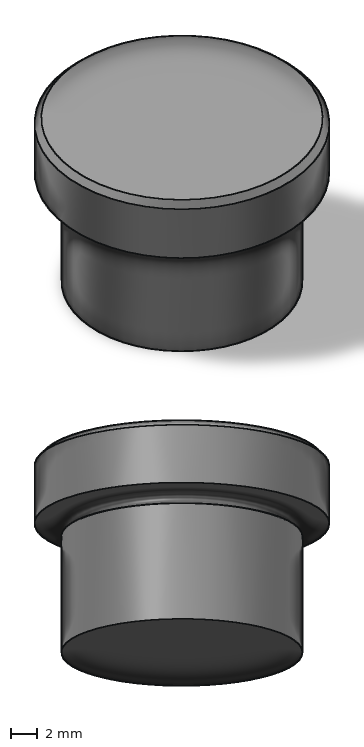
import cadquery as cq

head_diameter = 22.0
total_height = 15.0
head_height = 5.0
shank_diameter = 18.0
top_chamfer = 0.5

groove_width = 1.01
groove_depth = groove_width / 2

head_radius = head_diameter / 2
shank_radius = shank_diameter / 2
groove_radius = shank_radius - groove_depth
head_bottom = total_height - head_height
groove_bottom = head_bottom - groove_width
groove_middle = head_bottom - groove_width / 2


def make_head():
    """Round head with a chamfered top rim."""
    return (
        cq.Workplane("XY", origin=(0, 0, head_bottom))
        .circle(head_radius)
        .extrude(head_height)
        .faces(">Z")
        .chamfer(top_chamfer)
    )


def make_shank():
    """Shank with a half-round groove made of two quarter arcs at its top."""
    return (
        cq.Workplane("XZ")
        .lineTo(shank_radius, 0)
        .lineTo(shank_radius, groove_bottom)
        .radiusArc((groove_radius, groove_middle), groove_depth)
        .radiusArc((shank_radius, head_bottom), groove_depth)
        .lineTo(0, head_bottom)
        .close()
        .revolve(360, (0, 0, 0), (0, 1, 0))
    )


result = make_head().union(make_shank())